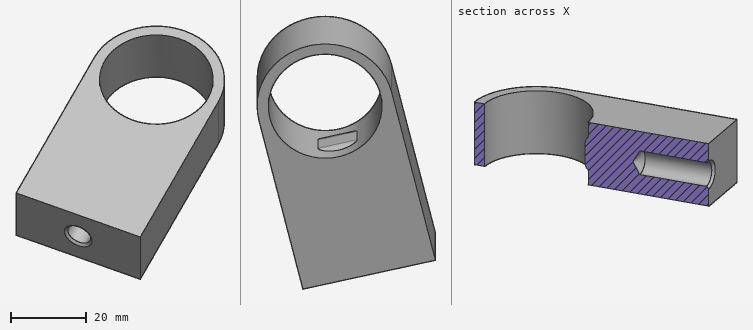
import cadquery as cq
import math

length = 68
width = 36.0
height = 18.0
bore_diameter = 30.0
end_radius = width / 2

hole_diameter = 6.65
mouth_diameter = 8.0
hole_depth = 20.0
drill_tip_angle = 118

rib_height = 10.5
rib_edge_diameter = 4.95
rib_projection = 0.95
rib_length = 15.0


def make_body():
    straight_length = length - end_radius
    return (
        cq.Workplane("XY")
        .moveTo(-end_radius, 0)
        .lineTo(-end_radius, -straight_length)
        .lineTo(end_radius, -straight_length)
        .lineTo(end_radius, 0)
        .threePointArc((0, end_radius), (-end_radius, 0))
        .close()
        .extrude(height)
        .cut(cq.Workplane("XY").circle(bore_diameter / 2).extrude(height))
    )


def make_rib():
    edge_radius = rib_edge_diameter / 2
    axis_y = -bore_diameter / 2 + rib_projection - edge_radius
    return (
        cq.Workplane("YZ", origin=(0, axis_y, height / 2))
        .slot2D(rib_height, rib_edge_diameter, 90)
        .extrude(rib_length / 2, both=True)
    )


def make_blind_hole():
    """Drilled hole with a 45 degree mouth chamfer and a conical bottom."""
    face_y = end_radius - length
    hole_radius = hole_diameter / 2
    mouth_radius = mouth_diameter / 2
    chamfer_depth = mouth_radius - hole_radius
    tip_depth = hole_radius / math.tan(math.radians(drill_tip_angle / 2))
    return (
        cq.Workplane("XY", origin=(0, face_y, height / 2))
        .lineTo(mouth_radius, 0)
        .lineTo(hole_radius, chamfer_depth)
        .lineTo(hole_radius, hole_depth)
        .lineTo(0, hole_depth + tip_depth)
        .close()
        .revolve(360, (0, 0, 0), (0, 1, 0))
    )


result = make_body().union(make_rib()).cut(make_blind_hole())